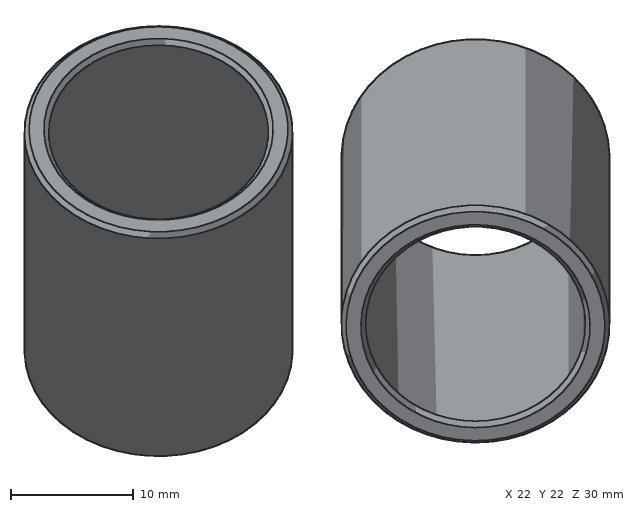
import cadquery as cq

length = 30.0
outer_diameter = 22.0
bore_diameter = 18.0
chamfer_size = 0.4

tube = (
    cq.Workplane("XY")
    .circle(outer_diameter / 2)
    .circle(bore_diameter / 2)
    .extrude(length)
)

result = tube.faces("<Z or >Z").edges().chamfer(chamfer_size)